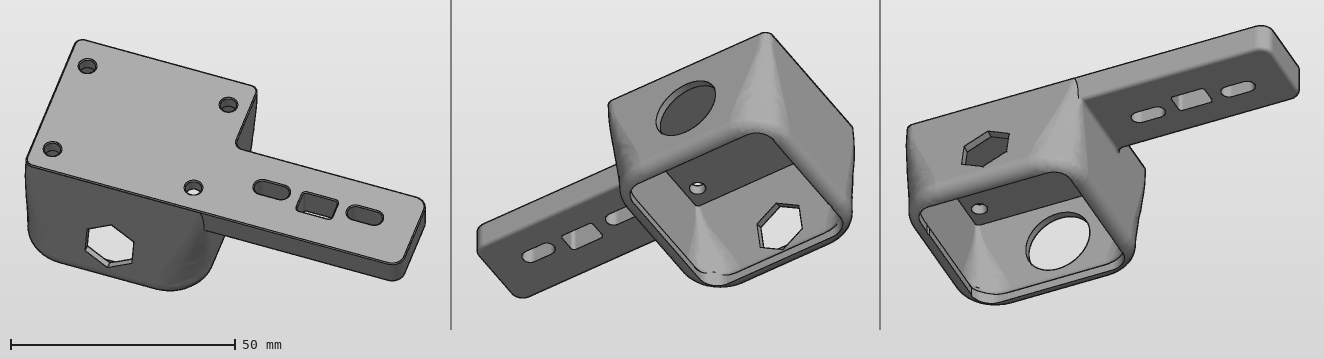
import cadquery as cq
import math

shapes = cq.occ_impl.shapes

total_length = 88.8
body_length = 43.0
plate_width = 37.0
height = 27.7

front_flare = 6.3
rear_flare = 0.65
top_corner_radius = 1.95
front_base_radius = 10.5
rear_base_radius = 9.95
base_edge_radius = 3.0
radius_steps = 8

wall = 1.8
ceiling_thickness = 3.0
floor_thickness = 1.8
floor_fillet_radius = 2.7
inner_corner_radius = 0.9
mouth_margin = 3.1
mouth_corner_radius = 4.4

arm_width = 19.6
arm_thickness = 7.0
arm_end_radius = 3.0
arm_edge_radius = 1.0
arm_overlap = 3.55
elbow_radius = 1.95

edge_chamfer = 0.3
screw_diameter = 3.6
screw_center = (21.4, 18.0)
screw_pitch = (33.2, 24.2)
slot_length = 8.1
slot_width = 3.7
slot_centers = [(54.7, 11.0), (76.6, 11.0)]
window_center = (65.7, 10.1)
window_length = 8.2
window_width = 5.2
window_corner_radius = 0.8

hex_flats = 11.0
hex_center_z = 10.9
bore_diameter = 15.6

body_center_x = body_length / 2
body_center_y = plate_width / 2
bore_center_z = height / 2
arm_start_x = body_length - arm_overlap
arm_length = total_length - arm_start_x
arm_bottom_z = height - arm_thickness
hex_corners = hex_flats / math.cos(math.radians(30))
front_wall_tilt = math.degrees(math.atan(front_flare / height))


def front_wall_y(z):
    return -front_flare * (height - z) / height


def rear_wall_y(z):
    return plate_width + rear_flare * (height - z) / height


def smooth_radius_law(start_radius, end_radius):
    """Radius along an edge that starts and ends level, with an S-shaped rise or fall between."""
    law = shapes.TColgp_HArray1OfPnt2d(0, radius_steps)
    for step in range(radius_steps + 1):
        t = step / radius_steps
        blend = t * t * (3 - 2 * t)
        radius = start_radius + blend * (end_radius - start_radius)
        law.SetValue(step, shapes.gp_Pnt2d(t, radius))
    return law


def flared_block(inset, bottom_z, top_z, top_radius):
    """Block set in from the housing walls; its corner radius grows smoothly towards the base."""
    profile = [
        (front_wall_y(bottom_z) + inset, bottom_z),
        (rear_wall_y(bottom_z) - inset, bottom_z),
        (rear_wall_y(top_z) - inset, top_z),
        (front_wall_y(top_z) + inset, top_z),
    ]
    block = (
        cq.Workplane("YZ", origin=(inset, 0, 0))
        .polyline(profile)
        .close()
        .extrude(body_length - 2 * inset)
    )
    rounding = shapes.BRepFilletAPI_MakeFillet(block.val().wrapped)
    for edge in block.edges("not(|X or |Y)").vals():
        is_front = edge.Center().y < body_center_y
        base_radius = (front_base_radius if is_front else rear_base_radius) - inset
        starts_low = edge.startPoint().z < edge.endPoint().z
        radii = (base_radius, top_radius) if starts_low else (top_radius, base_radius)
        rounding.Add(smooth_radius_law(*radii), edge.wrapped)
    return cq.Workplane(cq.Shape.cast(rounding.Shape()))


def arm_bar(bottom_z):
    """Arm with rounded outer end corners, from the given level up to the top face."""
    return (
        cq.Workplane("XY", origin=(arm_start_x, 0, bottom_z))
        .rect(arm_length, arm_width, centered=False)
        .extrude(height - bottom_z)
        .edges("|Z and >X")
        .fillet(arm_end_radius)
    )


def round_elbow(solid, bottom_z):
    """Fill the inner corner in plan where the arm leaves the housing."""
    elbow = cq.NearestToPointSelector((body_length, arm_width, (bottom_z + height) / 2))
    return solid.edges("|Z").edges(elbow).fillet(elbow_radius)


def outer_shape():
    housing = flared_block(0, 0, height, top_corner_radius)
    housing = housing.faces("<Z").edges().fillet(base_edge_radius)
    solid = round_elbow(housing.union(arm_bar(arm_bottom_z)), arm_bottom_z)
    arm_center = ((body_length + total_length) / 2, arm_width / 2, arm_bottom_z)
    underside = solid.faces(cq.NearestToPointSelector(arm_center))
    return underside.edges().fillet(arm_edge_radius)


def top_edge_trim():
    """Material outside the chamfered outline of the top face."""
    trim_z = height - edge_chamfer
    plate = (
        cq.Workplane("XY", origin=(0, 0, trim_z))
        .rect(body_length, plate_width, centered=False)
        .extrude(edge_chamfer)
        .edges("|Z")
        .fillet(top_corner_radius)
    )
    outline = round_elbow(plate.union(arm_bar(trim_z)), trim_z)
    outline = outline.faces(">Z").edges().chamfer(0.999 * edge_chamfer)
    layer = (
        cq.Workplane("XY", origin=(total_length / 2, body_center_y, trim_z))
        .rect(2 * total_length, 2 * total_length)
        .extrude(edge_chamfer)
    )
    return layer.cut(outline)


def hollow():
    """Cavity with a rounded floor edge, joined to the mouth through the floor."""
    cavity = flared_block(wall, floor_thickness, height - ceiling_thickness, inner_corner_radius)
    cavity = cavity.faces("<Z").edges().fillet(floor_fillet_radius)
    mouth_front_y = front_wall_y(base_edge_radius) + mouth_margin
    mouth_rear_y = rear_wall_y(base_edge_radius) - mouth_margin
    mouth = (
        cq.Workplane("XY", origin=(mouth_margin, mouth_front_y, 0))
        .rect(body_length - 2 * mouth_margin, mouth_rear_y - mouth_front_y, centered=False)
        .extrude(floor_thickness + floor_fillet_radius)
        .edges("|Z")
        .fillet(mouth_corner_radius)
    )
    return cavity.union(mouth)


top_plane = cq.Workplane("XY", origin=(0, 0, height))


def screw_holes(margin):
    return top_plane.center(*screw_center).rarray(*screw_pitch, 2, 2).circle(screw_diameter / 2 + margin)


def arm_slots(margin):
    return top_plane.pushPoints(slot_centers).slot2D(slot_length + 2 * margin, slot_width + 2 * margin)


def arm_window(margin):
    window = (
        cq.Sketch()
        .rect(window_length + 2 * margin, window_width + 2 * margin)
        .vertices()
        .fillet(window_corner_radius + margin)
    )
    return top_plane.center(*window_center).placeSketch(window)


def hex_opening():
    """Hexagon with corners up and down, cut square to the sloping front wall and through it only."""
    center = (body_center_x, front_wall_y(hex_center_z), hex_center_z)
    prism = (
        cq.Workplane("XZ", origin=center)
        .transformed(rotate=(0, 0, 30))
        .polygon(6, hex_corners)
        .extrude(2 * wall, both=True)
    )
    axis_end = (total_length, front_wall_y(hex_center_z), hex_center_z)
    prism = prism.rotate(center, axis_end, -front_wall_tilt)
    return prism.cut(flared_block(wall, 0, height, inner_corner_radius))


def rear_bore():
    return (
        cq.Workplane("XZ", origin=(body_center_x, body_center_y, bore_center_z))
        .circle(bore_diameter / 2)
        .extrude(-plate_width)
    )


result = outer_shape().cut(top_edge_trim()).cut(hollow())
for opening in (screw_holes, arm_slots, arm_window):
    result = result.cut(opening(0).extrude(-height))
    result = result.cut(opening(edge_chamfer).extrude(-edge_chamfer, taper=45))
result = result.cut(hex_opening()).cut(rear_bore())